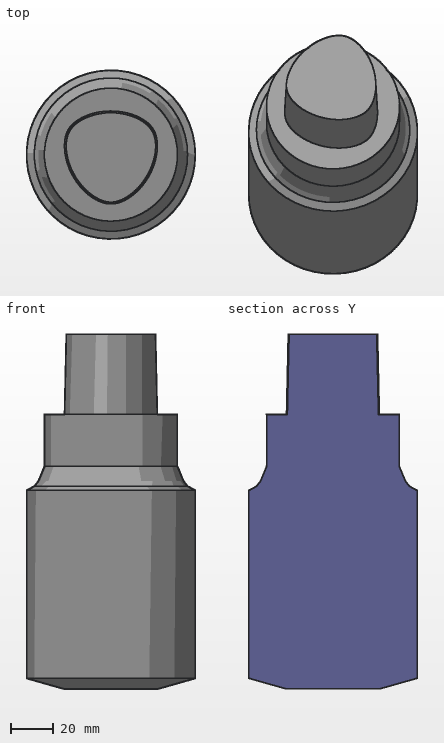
import cadquery as cq
import math

total_height = 168.0
bottom_bevel_height = 5.0
body_top = 94.0
flare_lower = 96.1
flare_middle = 98.5
collar_bottom = 105.5
collar_top = 130.0

body_radius = 80.0 / 2
collar_radius = 63.0 / 2
bottom_radius = 22.2
flare_lower_radius = 36.3
flare_middle_radius = 34.5

shank_base_radius = 22.0
shank_top_radius = 21.2
lobe_height = 1.3
curve_points = 72


def turned_body():
    """Revolve the stepped body, with its bottom bevel and conical flare."""
    profile = [
        (0, 0),
        (bottom_radius, 0),
        (body_radius, bottom_bevel_height),
        (body_radius, body_top),
        (flare_lower_radius, flare_lower),
        (flare_middle_radius, flare_middle),
        (collar_radius, collar_bottom),
        (collar_radius, collar_top),
        (0, collar_top),
    ]
    return cq.Workplane("XZ").polyline(profile).close().revolve(360, (0, 0), (0, 1))


def lobed_point(mean_radius, angle):
    """Point of a constant-width curve with three lobes, one of them toward -Y."""
    along_lobe = (
        mean_radius * math.cos(angle)
        + 2 * lobe_height * math.cos(2 * angle)
        - lobe_height * math.cos(4 * angle)
    )
    across_lobe = (
        mean_radius * math.sin(angle)
        - 2 * lobe_height * math.sin(2 * angle)
        - lobe_height * math.sin(4 * angle)
    )
    return (across_lobe, -along_lobe)


def lobed_outline(mean_radius):
    """Points around the closed curve; the first is at the -Y lobe."""
    step = 2 * math.pi / curve_points
    return [lobed_point(mean_radius, i * step) for i in range(curve_points)]


def shank():
    """Loft the lobed section from the collar to the smaller top face."""
    return (
        cq.Workplane("XY")
        .workplane(offset=collar_top)
        .spline(lobed_outline(shank_base_radius), periodic=True)
        .close()
        .workplane(offset=total_height - collar_top)
        .spline(lobed_outline(shank_top_radius), periodic=True)
        .close()
        .loft(ruled=True, combine=True)
    )


result = turned_body().union(shank())